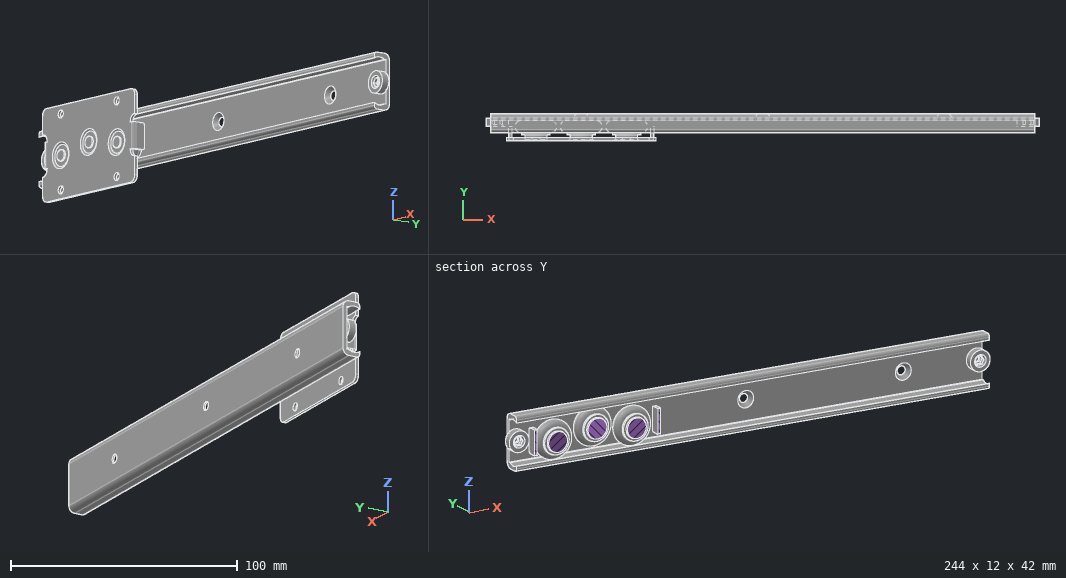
import cadquery as cq
import math


RAIL_LENGTH = 240.0
RAIL_HEIGHT = 25.6
RAIL_DEPTH = 8.5
RAIL_WALL = 2.0
BACK_RADIUS = 3.0
FRONT_RADIUS = 1.5
RACEWAY_RADIUS = 5.0
RAIL_HOLE_PITCH = 80.0
RAIL_HOLE_DIAMETER = 4.0
RAIL_SINK_DIAMETER = 8.0

PLATE_LENGTH = 66.0
PLATE_HEIGHT = 42.0
PLATE_THICKNESS = 1.5
PLATE_GAP = 2.0
PLATE_CENTER_X = 40.0
PLATE_CORNER_RADIUS = 3.0
PLATE_HOLE_DIAMETER = 3.5
PLATE_HOLE_PITCH_X = 40.0
PLATE_HOLE_PITCH_Z = 34.0
NOTCH_DEPTH = 3.2
NOTCH_HEIGHT = 19.0
TAB_HEIGHT = 12.0
TAB_SETBACK = 1.0
TAB_LENGTH = 6.3
TAB_CORNER_RADIUS = 1.0
BEND_RADIUS = 1.4

ROLLER_PITCH = 20.0
ROLLER_OFFSET_Z = 1.5
ROLLER_CLEARANCE = 0.1
ROLLER_WIDTH = 5.4
ROLLER_BACK_GAP = 1.0
COLLAR_DIAMETER = 12.5
COLLAR_THICKNESS = 1.0
STEM_DIAMETER = 9.8
SEAT_DIAMETER = 11.9
SEAT_DEPTH = 0.6
RIVET_DIAMETER = 5.2

STOP_DIAMETER = 10.0
STOP_INSET = 3.0
STOP_HEIGHT = 3.6
SOCKET_ACROSS_FLATS = 4.0
SOCKET_RIM_DIAMETER = 5.8
PILOT_DIAMETER = 2.4
SOCKET_DEPTH = 2.5

RAIL_INNER_HALF = RAIL_HEIGHT / 2 - RAIL_WALL
PLATE_BACK_Y = -RAIL_DEPTH - PLATE_GAP
PLATE_FRONT_Y = PLATE_BACK_Y - PLATE_THICKNESS
STEM_END_Y = PLATE_FRONT_Y + SEAT_DEPTH
WEB_Y = -RAIL_WALL
ROLLER_MIDDLE_Y = WEB_Y - ROLLER_BACK_GAP - ROLLER_WIDTH / 2


def cylinder_along_y(diameter, y_start, y_end):
    """Cylinder on the Y axis from y_start toward -Y down to y_end."""
    return (
        cq.Workplane("XZ", origin=(0, y_start, 0))
        .circle(diameter / 2)
        .extrude(y_start - y_end)
    )


def cone_along_y(front_diameter, back_diameter, y_front, y_back):
    """Truncated cone on the Y axis."""
    profile = [
        (0, y_front),
        (front_diameter / 2, y_front),
        (back_diameter / 2, y_back),
        (0, y_back),
    ]
    return cq.Workplane("XY").polyline(profile).close().revolve(360, (0, 0, 0), (0, 1, 0))


def make_rail():
    """C-section with concave raceways and countersunk mounting holes in the web."""
    raceway_half_width = RAIL_DEPTH + ROLLER_MIDDLE_Y
    raceway_back_y = ROLLER_MIDDLE_Y + raceway_half_width
    raceway_depth = RACEWAY_RADIUS - math.sqrt(RACEWAY_RADIUS**2 - raceway_half_width**2)
    lip_half = RAIL_INNER_HALF - raceway_depth
    body = (
        cq.Workplane("XY")
        .box(RAIL_LENGTH, RAIL_DEPTH, RAIL_HEIGHT)
        .translate((RAIL_LENGTH / 2, -RAIL_DEPTH / 2, 0))
        .edges("|X and >Y").fillet(BACK_RADIUS)
        .edges("|X and <Y").fillet(FRONT_RADIUS)
    )
    channel = (
        cq.Workplane("YZ")
        .moveTo(WEB_Y, -lip_half)
        .lineTo(WEB_Y, lip_half)
        .lineTo(raceway_back_y, lip_half)
        .threePointArc((ROLLER_MIDDLE_Y, RAIL_INNER_HALF), (-RAIL_DEPTH, lip_half))
        .lineTo(-RAIL_DEPTH, -lip_half)
        .threePointArc((ROLLER_MIDDLE_Y, -RAIL_INNER_HALF), (raceway_back_y, -lip_half))
        .close()
        .extrude(RAIL_LENGTH)
    )
    rail = body.cut(channel)

    sink_depth = (RAIL_SINK_DIAMETER - RAIL_HOLE_DIAMETER) / 2
    sink = cone_along_y(RAIL_SINK_DIAMETER, RAIL_HOLE_DIAMETER, WEB_Y, WEB_Y + sink_depth)
    for step in (-1, 0, 1):
        hole_x = RAIL_LENGTH / 2 + step * RAIL_HOLE_PITCH
        hole = cylinder_along_y(RAIL_HOLE_DIAMETER, 0, WEB_Y)
        rail = rail.cut(hole.translate((hole_x, 0, 0))).cut(sink.translate((hole_x, 0, 0)))
    return rail


def roller_positions():
    """Three rollers in a row, the middle one raised and the outer two lowered."""
    return [
        (PLATE_CENTER_X + step * ROLLER_PITCH, 0, ROLLER_OFFSET_Z if step == 0 else -ROLLER_OFFSET_Z)
        for step in (-1, 0, 1)
    ]


def make_tab():
    """Bent tab at the plate's -X end, in coordinates centred on the plate."""
    outer_x = -PLATE_LENGTH / 2 + TAB_SETBACK
    notch_x = -PLATE_LENGTH / 2 + NOTCH_DEPTH
    upright = (
        cq.Workplane("XY")
        .box(PLATE_THICKNESS, TAB_LENGTH, TAB_HEIGHT, centered=(False, False, True))
        .edges("|X and >Y").fillet(TAB_CORNER_RADIUS)
    )
    foot = cq.Workplane("XY").box(
        notch_x - outer_x, PLATE_THICKNESS, TAB_HEIGHT, centered=(False, False, True)
    )
    tab = upright.union(foot).edges("|Z and <X and <Y").fillet(BEND_RADIUS)
    return tab.translate((outer_x, PLATE_FRONT_Y, 0))


def make_carriage():
    """Rounded plate with a notched tab at each end, four screw holes and three roller seats."""
    plate = (
        cq.Workplane("XZ", origin=(0, PLATE_BACK_Y, 0))
        .rect(PLATE_LENGTH, PLATE_HEIGHT)
        .extrude(PLATE_THICKNESS)
        .edges("|Y").fillet(PLATE_CORNER_RADIUS)
    )
    notch = (
        cq.Workplane("XZ", origin=(0, PLATE_BACK_Y, 0))
        .slot2D(NOTCH_HEIGHT, 2 * NOTCH_DEPTH, 90)
        .extrude(PLATE_THICKNESS)
    )
    tab = make_tab()
    for end in (-1, 1):
        plate = plate.cut(notch.translate((end * PLATE_LENGTH / 2, 0, 0)))
    plate = plate.union(tab).union(tab.mirror("YZ"))

    holes = (
        cq.Workplane("XZ", origin=(0, PLATE_BACK_Y, 0))
        .rect(PLATE_HOLE_PITCH_X, PLATE_HOLE_PITCH_Z, forConstruction=True)
        .vertices()
        .circle(PLATE_HOLE_DIAMETER / 2)
        .extrude(PLATE_THICKNESS)
    )
    plate = plate.cut(holes).translate((PLATE_CENTER_X, 0, 0))

    seat = cone_along_y(SEAT_DIAMETER, STEM_DIAMETER, PLATE_FRONT_Y, STEM_END_Y).union(
        cylinder_along_y(STEM_DIAMETER, PLATE_BACK_Y, STEM_END_Y)
    )
    for position in roller_positions():
        plate = plate.cut(seat.translate(position))
    return plate


def make_roller():
    """Crowned wheel with collar, stem up to the plate and a rivet end in the plate's seat."""
    radius = RAIL_INNER_HALF - ROLLER_OFFSET_Z - ROLLER_CLEARANCE
    crown_radius = ROLLER_WIDTH / 2
    crown_center = radius - crown_radius
    shoulder = crown_radius * math.sqrt(0.5)
    back_y = ROLLER_MIDDLE_Y + crown_radius
    front_y = ROLLER_MIDDLE_Y - crown_radius
    collar_y = front_y - COLLAR_THICKNESS
    wheel = (
        cq.Workplane("XY")
        .moveTo(0, back_y)
        .lineTo(crown_center, back_y)
        .threePointArc(
            (crown_center + shoulder, ROLLER_MIDDLE_Y + shoulder), (radius, ROLLER_MIDDLE_Y)
        )
        .threePointArc(
            (crown_center + shoulder, ROLLER_MIDDLE_Y - shoulder), (crown_center, front_y)
        )
        .lineTo(0, front_y)
        .close()
        .revolve(360, (0, 0, 0), (0, 1, 0))
    )
    return (
        wheel
        .union(cylinder_along_y(COLLAR_DIAMETER, front_y, collar_y))
        .union(cylinder_along_y(STEM_DIAMETER, collar_y, STEM_END_Y))
        .union(cylinder_along_y(RIVET_DIAMETER, STEM_END_Y, PLATE_FRONT_Y))
    )


def make_end_stop():
    """Round stop on the rail web with a chamfered hex socket and a central pilot hole."""
    front_y = WEB_Y - STOP_HEIGHT
    corner_diameter = SOCKET_ACROSS_FLATS / math.cos(math.pi / 6)
    socket = (
        cq.Workplane("XZ", origin=(0, front_y + SOCKET_DEPTH, 0))
        .polygon(6, corner_diameter)
        .extrude(SOCKET_DEPTH)
    )
    rim_depth = (SOCKET_RIM_DIAMETER - SOCKET_ACROSS_FLATS) / 2
    rim = cone_along_y(SOCKET_RIM_DIAMETER, SOCKET_ACROSS_FLATS, front_y, front_y + rim_depth)
    pilot = cylinder_along_y(PILOT_DIAMETER, WEB_Y, front_y)
    return cylinder_along_y(STOP_DIAMETER, WEB_Y, front_y).cut(rim).cut(socket).cut(pilot)


rail = make_rail()
carriage = make_carriage()
rollers = [make_roller().translate(position) for position in roller_positions()]
end_stops = [
    make_end_stop().translate((stop_x, 0, 0))
    for stop_x in (STOP_INSET, RAIL_LENGTH - STOP_INSET)
]

result = cq.Compound.makeCompound(
    [body.val() for body in (rail, carriage, *rollers, *end_stops)]
)